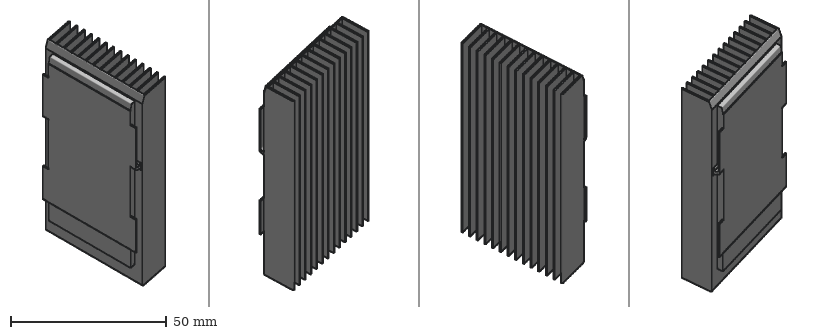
import cadquery as cq
import math


height = 86.6
width = 40.2
depth = 14.4
base_thickness = 1.5
fin_count = 14
fin_thickness = 0.6
fin_tip_radius = 0.35
top_bevel_depth = 1.0
top_bevel_height = 3.0
top_bevel_radius = 0.35
bottom_edge_radius = 0.6

body_width = 33.95
body_bottom = 8.1
body_top = 83.0
body_depth = 2.2
body_nose_depth = 1.7
body_slope_height = 2.4
body_nose_radius = 0.35

module_depth = 2.4
cover_thickness = 0.5
cover_top = 80.3
cover_bottom = 16.5
cover_edge_radius = 0.35
wing_span = 38.6
lower_wing_top = 31.9

clip_top = 73.9
clip_front_bottom = 55.1
clip_slope = math.radians(25)
clip_bend_radius = 0.9
channel_top = 56.2

fin_tip = depth - module_depth
fin_pitch = (width - fin_thickness) / (fin_count - 1)


def box(x_size, y_range, z_range):
    """Box centred on X that spans the given Y and Z ranges."""
    y_size = y_range[1] - y_range[0]
    z_size = z_range[1] - z_range[0]
    solid = cq.Workplane("XY").box(x_size, y_size, z_size, centered=(True, False, False))
    return solid.translate((0, y_range[0], z_range[0]))


def extrude_across(profile, x_size):
    """Extrude a closed YZ profile symmetrically about x = 0."""
    return profile.close().extrude(x_size / 2, both=True)


def heat_sink():
    sink = box(width, (0, base_thickness), (0, height))
    for index in range(fin_count):
        fin = box(fin_thickness, (base_thickness, fin_tip), (0, height))
        fin_x = (fin_thickness - width) / 2 + index * fin_pitch
        sink = sink.union(fin.translate((fin_x, 0, 0)))

    for side in ("<X", ">X"):
        sink = sink.faces(side).edges(">Y").fillet(fin_tip_radius)

    sink = sink.faces("<Y").edges("<Z").fillet(bottom_edge_radius)
    bevel = (
        cq.Workplane("YZ")
        .moveTo(0, height - top_bevel_height)
        .lineTo(top_bevel_depth, height)
        .lineTo(0, height)
    )
    sink = sink.cut(extrude_across(bevel, width))
    bevel_edge = cq.selectors.NearestToPointSelector((0, top_bevel_depth, height))
    return sink.edges(bevel_edge).fillet(top_bevel_radius)


def module_body():
    profile = (
        cq.Workplane("YZ")
        .moveTo(0, body_bottom)
        .lineTo(-body_depth, body_bottom)
        .lineTo(-body_depth, body_top - body_slope_height)
        .lineTo(-body_nose_depth, body_top)
        .lineTo(0, body_top)
    )
    body = extrude_across(profile, body_width)
    return body.faces(">Z").edges("<Y").fillet(body_nose_radius)


def cover():
    sheet_y = (-module_depth, cover_thickness - module_depth)
    sheet = box(body_width, sheet_y, (cover_bottom, cover_top))
    lower_wings = box(wing_span, sheet_y, (cover_bottom, lower_wing_top))
    return sheet.union(lower_wings).faces("<Y").edges("<Z").fillet(cover_edge_radius)


def clips():
    """Upper wings whose lower ends sweep back to the base in an S-bend, above a rounded channel."""
    radius = clip_bend_radius
    inner_y = cover_thickness - module_depth
    bend_y = radius * (1 - math.sin(clip_slope))
    bend_z = radius * math.cos(clip_slope)

    outer_run = module_depth - 2 * bend_y
    slope_front_z = clip_front_bottom - bend_z
    slope_back_z = slope_front_z - outer_run * math.tan(clip_slope)

    valley_y = inner_y + radius
    channel_slope_y = valley_y + radius * math.sin(clip_slope)
    channel_run = -bend_y - channel_slope_y
    channel_slope_z = channel_top - bend_z - channel_run * math.tan(clip_slope)
    valley_center_z = channel_slope_z + bend_z

    profile = (
        cq.Workplane("YZ")
        .moveTo(-module_depth, clip_top)
        .lineTo(-module_depth, clip_front_bottom)
        .tangentArcPoint((-module_depth + bend_y, slope_front_z), relative=False)
        .lineTo(-bend_y, slope_back_z)
        .tangentArcPoint((0, slope_back_z - bend_z), relative=False)
        .lineTo(0, channel_top)
        .radiusArc((-bend_y, channel_top - bend_z), -radius)
        .lineTo(channel_slope_y, channel_slope_z)
        .tangentArcPoint((inner_y, valley_center_z), relative=False)
        .lineTo(inner_y, clip_top)
    )
    return extrude_across(profile, wing_span)


result = heat_sink().union(module_body()).union(cover()).union(clips())